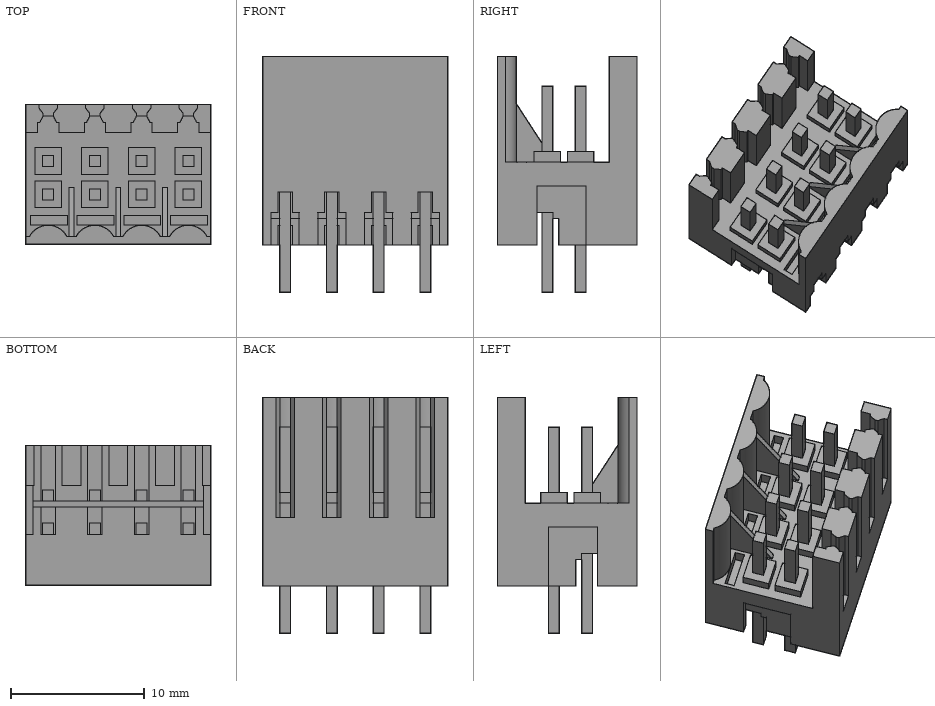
import cadquery as cq


WIDTH = 13.9
DEPTH = 10.5
HOUSING_HEIGHT = 14.16
FLOOR_HEIGHT = 6.23
FRONT_WALL = 0.6
REAR_WALL = 2.1
POLES = 4
PITCH = 3.5

PIN_SIZE = 0.83
PIN_TOP = 11.93
PIN_TAIL = 3.54
FRONT_ROW_Y = 3.75
ROW_PITCH = 2.5
PAD_SIZE = 2.0
PAD_HEIGHT = 0.81

RIDGE_CHORD = 2.8
RIDGE_RISE = 0.83

RIB_THICKNESS = 0.37
RIB_REACH = 3.68
RIB_HEIGHT = 5.66

KEYWAY_REAR_HALF = 0.69
KEYWAY_THROAT_HALF = 0.39
KEYWAY_SHOULDER_HALF = 0.64
KEYWAY_MOUTH_HALF = 0.8
KEYWAY_TAPER_START = 0.28
KEYWAY_THROAT_START = 0.67
KEYWAY_THROAT_END = 0.88
KEYWAY_SHOULDER = 1.36
KEYWAY_SINK = 1.06

POCKET_WIDTH = 2.76
POCKET_SHIFT_X = 0.05
POCKET_LENGTH = 0.7
POCKET_START_Y = 1.47
POCKET_DEPTH = 1.06

RECESS_DEPTH = 0.57
RECESS_HEIGHT = 4.42
RECESS_FRONT_Y = 3.0
TUNNEL_REAR_Y = 4.6
TUNNEL_LOW_HEIGHT = 1.98
TUNNEL_HIGH_HEIGHT = 2.45

NOTCH_WIDTH = 2.1
PIN_SLOT_WIDTH = 1.1
FRONT_SLOT_HEIGHT = 4.0
REAR_SLOT_HEIGHT = 1.49

REAR_ROW_Y = FRONT_ROW_Y + ROW_PITCH
FRONT_PIN_BACK = FRONT_ROW_Y + PIN_SIZE / 2
REAR_PIN_BACK = REAR_ROW_Y + PIN_SIZE / 2
WALL_HEIGHT = HOUSING_HEIGHT - FLOOR_HEIGHT
POLE_X = [(pole - (POLES - 1) / 2) * PITCH for pole in range(POLES)]
RIB_X = [x + PITCH / 2 for x in POLE_X[:-1]]


def block(x_center, width, y_start, y_end, z_start, z_end):
    """Box centred on x_center that spans the given Y and Z ranges."""
    size = (width, y_end - y_start, z_end - z_start)
    return cq.Workplane("XY").box(*size, centered=(True, False, False)).translate((x_center, y_start, z_start))


def housing_shell():
    """Floor block with a tall wall at the front and at the rear."""
    body = block(0, WIDTH, 0, DEPTH, 0, HOUSING_HEIGHT)
    return body.cut(block(0, WIDTH, FRONT_WALL, DEPTH - REAR_WALL, FLOOR_HEIGHT, HOUSING_HEIGHT))


def ridge(x):
    """Arc-faced ridge standing on the floor against the front wall."""
    return (
        cq.Workplane("XY", origin=(x, FRONT_WALL, FLOOR_HEIGHT))
        .moveTo(-RIDGE_CHORD / 2, 0)
        .threePointArc((0, RIDGE_RISE), (RIDGE_CHORD / 2, 0))
        .close()
        .extrude(WALL_HEIGHT)
    )


def rib(x):
    """Triangular brace between the floor and the front wall."""
    return (
        cq.Workplane("YZ", origin=(x - RIB_THICKNESS / 2, FRONT_WALL, FLOOR_HEIGHT))
        .polyline([(0, 0), (RIB_REACH, 0), (0, RIB_HEIGHT)])
        .close()
        .extrude(RIB_THICKNESS)
    )


def keyway(x):
    """Waisted keyway down to the floor; its part behind the throat sinks below the floor."""
    rear_half = [
        (KEYWAY_REAR_HALF, 0),
        (KEYWAY_REAR_HALF, -KEYWAY_TAPER_START),
        (KEYWAY_THROAT_HALF, -KEYWAY_THROAT_START),
        (KEYWAY_THROAT_HALF, -KEYWAY_THROAT_END),
    ]
    front_half = [
        (KEYWAY_THROAT_HALF, -KEYWAY_THROAT_END),
        (KEYWAY_SHOULDER_HALF, -KEYWAY_SHOULDER),
        (KEYWAY_MOUTH_HALF, -KEYWAY_SHOULDER),
        (KEYWAY_MOUTH_HALF, -REAR_WALL),
    ]

    def mirrored_prism(half_outline, z_start):
        other_half = [(-dx, dy) for dx, dy in reversed(half_outline)]
        outline = cq.Workplane("XY", origin=(x, DEPTH, z_start)).polyline(half_outline + other_half).close()
        return outline.extrude(HOUSING_HEIGHT - z_start)

    rear = mirrored_prism(rear_half, FLOOR_HEIGHT - KEYWAY_SINK)
    return rear.union(mirrored_prism(front_half, FLOOR_HEIGHT))


def floor_pocket(x):
    """Blind rectangular pocket in front of the pin rows."""
    pocket_end_y = POCKET_START_Y + POCKET_LENGTH
    pocket_bottom = FLOOR_HEIGHT - POCKET_DEPTH
    pocket_x = x + POCKET_SHIFT_X
    return block(pocket_x, POCKET_WIDTH, POCKET_START_Y, pocket_end_y, pocket_bottom, FLOOR_HEIGHT)


def underside_slots(x):
    """Front wall notch, tall slot at the front pin and low slot at the rear pin."""
    notch = block(x, NOTCH_WIDTH, 0, FRONT_PIN_BACK, 0, TUNNEL_HIGH_HEIGHT)
    front_slot = block(x, PIN_SLOT_WIDTH, 0, FRONT_PIN_BACK, 0, FRONT_SLOT_HEIGHT)
    rear_slot = block(x, PIN_SLOT_WIDTH, FRONT_PIN_BACK, REAR_PIN_BACK, 0, REAR_SLOT_HEIGHT)
    return notch.union(front_slot).union(rear_slot)


def pin_with_pad(x, y):
    """Square pin through the floor, with a raised square pad around it."""
    pin_half = PIN_SIZE / 2
    pad_half = PAD_SIZE / 2
    pin = block(x, PIN_SIZE, y - pin_half, y + pin_half, -PIN_TAIL, PIN_TOP)
    pad = block(x, PAD_SIZE, y - pad_half, y + pad_half, FLOOR_HEIGHT, FLOOR_HEIGHT + PAD_HEIGHT)
    return pin.union(pad)


result = housing_shell()

result = result.cut(block(0, WIDTH, RECESS_FRONT_Y, FRONT_PIN_BACK, 0, TUNNEL_HIGH_HEIGHT))
result = result.cut(block(0, WIDTH, FRONT_PIN_BACK, TUNNEL_REAR_Y, 0, TUNNEL_LOW_HEIGHT))
for side in (-1, 1):
    recess_x = side * (WIDTH - RECESS_DEPTH) / 2
    result = result.cut(block(recess_x, RECESS_DEPTH, RECESS_FRONT_Y, REAR_PIN_BACK, 0, RECESS_HEIGHT))

for x in RIB_X:
    result = result.union(rib(x))

for x in POLE_X:
    result = result.union(ridge(x))
    result = result.cut(keyway(x)).cut(floor_pocket(x)).cut(underside_slots(x))
    for row_y in (FRONT_ROW_Y, REAR_ROW_Y):
        result = result.union(pin_with_pad(x, row_y))